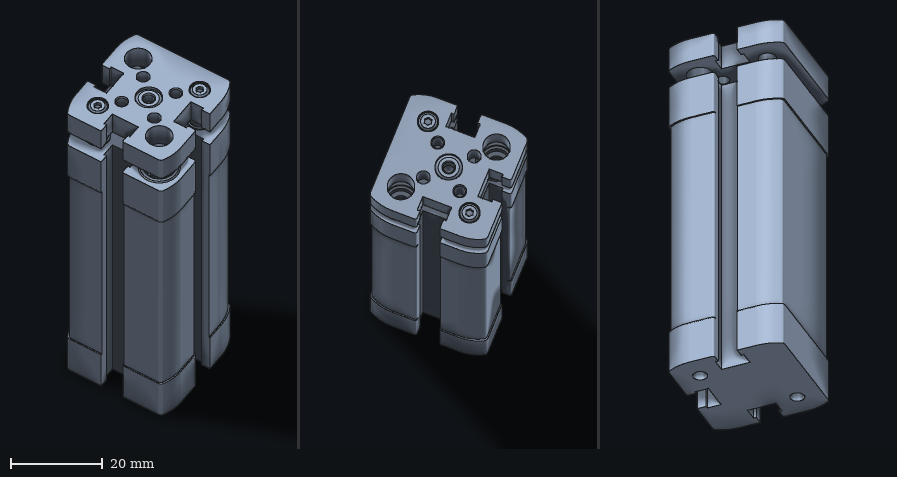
import cadquery as cq
import math

total_height = 85.2
width = 27.5
plate_height = 6.0
gap = 4.35
cap_height = 10.4
middle_inset = 0.3
plate_bottom = total_height - plate_height
housing_height = plate_bottom - gap
middle_height = housing_height - 2 * cap_height

corner_arc_radius = 11.0
corner_arc_height = 5.7
corner_blend_radius = 1.0

slot_shift = 0.6
slot_mouth_width = 5.45
slot_inner_width = 6.7
slot_floor = 8.35
slot_lip_inside = 11.6
slot_edge_radius = 0.5
slot_sides = ((0, -1), (90, 1), (270, 1))

corner_offset = 8.0
inner_hole_offset = 4.3
rod_directions = ((-1, -1), (1, 1))
screw_directions = ((-1, 1), (1, -1))
rod_insertion = cap_height
rod_bottom = housing_height - rod_insertion

guide_rod_diameter = 4.0
guide_rod_seat_diameter = 4.6
guide_rod_head_diameter = 4.2
guide_rod_end_diameter = 3.2
guide_rod_groove_depth = 0.4
hex_socket_corner_diameter = 1.8
hex_socket_depth = 0.85
hex_socket_turn = -45

piston_rod_diameter = 6.05
piston_rod_seat_diameter = 6.0
piston_rod_end_diameter = 4.6
piston_rod_end_recess = 0.3
piston_rod_chamfer_height = 0.4
flat_spacing = 4.9
flat_height = 2.7
piston_thread_depth = 2.55
drill_point_angle = 118.0

access_hole_diameter = 6.0
plain_hole_diameter = 3.0
thread_diameter = 2.5
thread_mouth_diameter = 3.0

collar_diameter = 5.6
collar_height = 0.3
collar_mouth_diameter = 4.6

rim_base_diameter = 9.2
rim_top_diameter = 8.5
rim_height = 0.2
recess_mouth_diameter = 7.15
recess_mouth_depth = 0.7
recess_diameter = 6.0
recess_depth = 2.55
through_hole_diameter = 3.2
through_hole_mouth_diameter = 3.8


def cylinder(x, y, bottom, height, diameter):
    return cq.Workplane("XY", origin=(x, y, bottom)).circle(diameter / 2).extrude(height)


def cone(x, y, bottom, height, bottom_diameter, top_diameter):
    base = cq.Vector(x, y, bottom)
    return cq.Workplane(cq.Solid.makeCone(bottom_diameter / 2, top_diameter / 2, height, base))


def mouth_chamfer(x, y, top, hole_diameter, mouth_diameter):
    """Cutter for a 45 degree chamfer that widens the upper end of a hole."""
    height = (mouth_diameter - hole_diameter) / 2
    return cone(x, y, top - height, height, hole_diameter, mouth_diameter)


def corner(direction, offset):
    return direction[0] * offset, direction[1] * offset


def block(inset, bottom, height):
    """Square block whose left and right sides curve in towards the flat front and back."""
    half = width / 2 - inset
    arc_start = half - corner_arc_height
    arc_center = half - corner_arc_radius
    middle_rise = corner_arc_height / 2
    middle_x = arc_center + math.sqrt(corner_arc_radius**2 - middle_rise**2)
    middle_y = arc_start + middle_rise
    edge_x = arc_center + math.sqrt(corner_arc_radius**2 - corner_arc_height**2)
    outline = (
        cq.Workplane("XY", origin=(0, 0, bottom))
        .moveTo(-edge_x, half)
        .lineTo(edge_x, half)
        .threePointArc((middle_x, middle_y), (half, arc_start))
        .lineTo(half, -arc_start)
        .threePointArc((middle_x, -middle_y), (edge_x, -half))
        .lineTo(-edge_x, -half)
        .threePointArc((-middle_x, -middle_y), (-half, -arc_start))
        .lineTo(-half, arc_start)
        .threePointArc((-middle_x, middle_y), (-edge_x, half))
        .close()
    )
    return outline.extrude(height).edges("|Z and (>Y or <Y)").fillet(corner_blend_radius)


def slot(inset, turn, side, bottom, height):
    """T-slot cutter, with one rounded mouth edge on the side away from its shift."""
    face = width / 2 - inset
    center = slot_shift * side
    plain_edge = center + side * slot_mouth_width / 2
    round_edge = center - side * slot_mouth_width / 2
    plain_wall = center + side * slot_inner_width / 2
    round_wall = center - side * slot_inner_width / 2
    sag = (1 - math.sqrt(0.5)) * slot_edge_radius
    outline = (
        cq.Workplane("XY", origin=(0, 0, bottom))
        .moveTo(plain_edge, -face)
        .lineTo(plain_edge, -slot_lip_inside)
        .lineTo(plain_wall, -slot_lip_inside)
        .lineTo(plain_wall, -slot_floor)
        .lineTo(round_wall, -slot_floor)
        .lineTo(round_wall, -slot_lip_inside)
        .lineTo(round_edge, -slot_lip_inside)
        .lineTo(round_edge, slot_edge_radius - face)
        .threePointArc(
            (round_edge - side * sag, sag - face),
            (round_edge - side * slot_edge_radius, -face),
        )
        .close()
    )
    return outline.extrude(height).rotate((0, 0, 0), (0, 0, 1), turn)


def slotted_block(inset, bottom, height):
    body = block(inset, bottom, height)
    for turn, side in slot_sides:
        body = body.cut(slot(inset, turn, side, bottom, height))
    return body


def add_rod_collar(body, x, y):
    """Raised collar with the bore that guides one rod."""
    top = housing_height + collar_height
    body = body.union(cylinder(x, y, housing_height, collar_height, collar_diameter))
    body = body.cut(cylinder(x, y, rod_bottom, top - rod_bottom, guide_rod_diameter))
    return body.cut(mouth_chamfer(x, y, top, guide_rod_diameter, collar_mouth_diameter))


def add_screw_recess(body, x, y):
    """Low conical rim around a stepped recess with a through hole in its floor."""
    top = housing_height + rim_height
    floor = top - recess_depth
    body = body.union(cone(x, y, housing_height, rim_height, rim_base_diameter, rim_top_diameter))
    body = body.cut(cylinder(x, y, top - recess_mouth_depth, recess_mouth_depth, recess_mouth_diameter))
    body = body.cut(cylinder(x, y, floor, recess_depth, recess_diameter))
    body = body.cut(cylinder(x, y, 0, floor, through_hole_diameter))
    return body.cut(mouth_chamfer(x, y, floor, through_hole_diameter, through_hole_mouth_diameter))


def make_housing():
    body = slotted_block(0, 0, cap_height)
    body = body.union(slotted_block(middle_inset, cap_height, middle_height))
    body = body.union(slotted_block(0, housing_height - cap_height, cap_height))
    body = body.cut(cylinder(0, 0, rod_bottom, rod_insertion, piston_rod_diameter))
    for direction in rod_directions:
        body = add_rod_collar(body, *corner(direction, corner_offset))
    for direction in screw_directions:
        body = add_screw_recess(body, *corner(direction, corner_offset))
    return body


def make_piston_rod():
    rod = cylinder(0, 0, rod_bottom, plate_bottom - rod_bottom, piston_rod_diameter)
    for side in (-1, 1):
        flat_center = side * (flat_spacing + piston_rod_diameter) / 2
        flat = cq.Workplane("XY", origin=(0, flat_center, plate_bottom - flat_height)).box(
            piston_rod_diameter, piston_rod_diameter, flat_height, centered=(True, True, False)
        )
        rod = rod.cut(flat)
    return rod


def finish_piston_rod_end(body):
    """Sunken, chamfered rod end with a threaded hole in the middle of the plate."""
    end = total_height - piston_rod_end_recess
    body = body.cut(cylinder(0, 0, end, piston_rod_end_recess, piston_rod_seat_diameter))
    chamfer_bottom = end - piston_rod_chamfer_height
    height = piston_rod_chamfer_height
    ring = cylinder(0, 0, chamfer_bottom, height, piston_rod_seat_diameter)
    rod_end = cone(0, 0, chamfer_bottom, height, piston_rod_seat_diameter, piston_rod_end_diameter)
    body = body.cut(ring.cut(rod_end))
    thread_bottom = end - piston_thread_depth
    point_height = thread_diameter / 2 / math.tan(math.radians(drill_point_angle / 2))
    body = body.cut(cylinder(0, 0, thread_bottom, piston_thread_depth, thread_diameter))
    body = body.cut(cone(0, 0, thread_bottom - point_height, point_height, 0, thread_diameter))
    return body.cut(mouth_chamfer(0, 0, end, thread_diameter, thread_mouth_diameter))


def finish_guide_rod_end(body, x, y):
    """Groove around the tapered rod end, and the hexagon socket in it."""
    groove_bottom = total_height - guide_rod_groove_depth
    height = guide_rod_groove_depth
    ring = cylinder(x, y, groove_bottom, height, guide_rod_seat_diameter)
    rod_end = cone(x, y, groove_bottom, height, guide_rod_head_diameter, guide_rod_end_diameter)
    socket = (
        cq.Workplane("XY", origin=(x, y, total_height - hex_socket_depth))
        .transformed(rotate=(0, 0, hex_socket_turn))
        .polygon(6, hex_socket_corner_diameter)
        .extrude(hex_socket_depth)
    )
    return body.cut(ring.cut(rod_end)).cut(socket)


def make_slide():
    body = slotted_block(0, plate_bottom, plate_height).union(make_piston_rod())
    body = finish_piston_rod_end(body)
    for direction in rod_directions:
        x, y = corner(direction, corner_offset)
        body = body.union(cylinder(x, y, rod_bottom, plate_bottom - rod_bottom, guide_rod_diameter))
        body = finish_guide_rod_end(body, x, y)
        x, y = corner(direction, inner_hole_offset)
        body = body.cut(cylinder(x, y, plate_bottom, plate_height, thread_diameter))
        body = body.cut(mouth_chamfer(x, y, total_height, thread_diameter, thread_mouth_diameter))
    for direction in screw_directions:
        x, y = corner(direction, corner_offset)
        body = body.cut(cylinder(x, y, plate_bottom, plate_height, access_hole_diameter))
        x, y = corner(direction, inner_hole_offset)
        body = body.cut(cylinder(x, y, plate_bottom, plate_height, plain_hole_diameter))
    return body


housing = make_housing()
slide = make_slide()
result = cq.Compound.makeCompound([housing.solids().val(), slide.solids().val()])